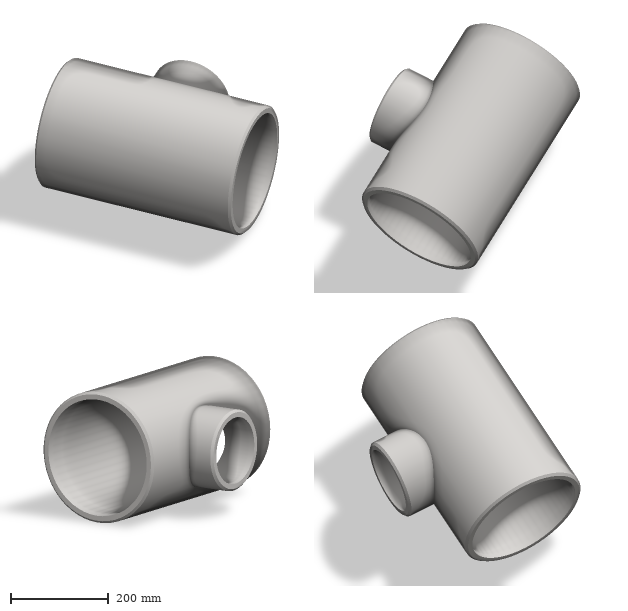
import cadquery as cq

run_length = 432.0
run_diameter = 273.0
branch_diameter = 168.5
branch_reach = 193.5
wall = 15.0
bevel = 4.7


def run_cylinder(diameter):
    """Cylinder along X, centred on the origin."""
    return cq.Workplane("YZ").circle(diameter / 2).extrude(run_length / 2, both=True)


def branch_cylinder(diameter):
    """Cylinder from the run axis out to the branch end face at +Y."""
    return cq.Workplane("XZ").circle(diameter / 2).extrude(-branch_reach)


run_body = run_cylinder(run_diameter).faces("<X or >X").chamfer(bevel)
branch_body = branch_cylinder(branch_diameter).faces(">Y").chamfer(bevel)

run_bore = run_cylinder(run_diameter - 2 * wall)
branch_bore = branch_cylinder(branch_diameter - 2 * wall)

result = run_body.union(branch_body).cut(run_bore).cut(branch_bore)